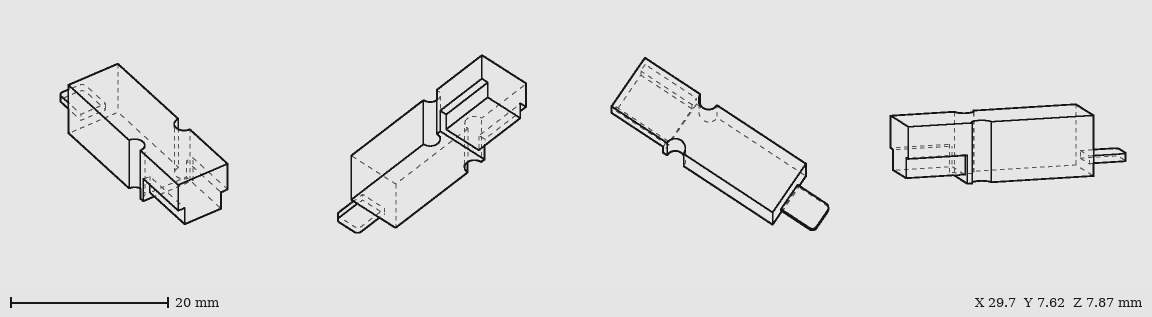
import cadquery as cq

overall_length = 29.72
housing_length = 24.70
housing_width = 7.62
housing_height = 7.87

tab_length = overall_length - housing_length
tab_width = 3.81
tab_thickness = 1.0
tab_bottom = 1.25
tab_corner_radius = 0.635

groove_radius = 1.27
groove_x = 14.92

mating_length = 7.87
hood_edge_bottom = 3.69
hood_root_bottom = 3.64
tongue_bottom = 1.0
tongue_side_inset = 1.0
tongue_width = housing_width - 2 * tongue_side_inset
mating_start = housing_length - mating_length


def block(x_start, length, width, z_bottom, height):
    """Box centred on Y = 0, starting at x_start and z_bottom."""
    return (
        cq.Workplane("XY")
        .box(length, width, height, centered=(False, True, False))
        .translate((x_start, 0, z_bottom))
    )


def make_mating_end():
    """Hood and tongue as one cross-section in YZ, extruded along X."""
    hood_y = housing_width / 2
    tongue_y = tongue_width / 2
    half_outline = [
        (tongue_y, tongue_bottom),
        (tongue_y, hood_root_bottom),
        (hood_y, hood_edge_bottom),
        (hood_y, housing_height),
    ]
    mirrored_half = [(-y, z) for y, z in reversed(half_outline)]
    return (
        cq.Workplane("YZ", origin=(mating_start, 0, 0))
        .polyline(half_outline + mirrored_half)
        .close()
        .extrude(mating_length)
    )


def make_housing():
    main_body = block(0, mating_start, housing_width, 0, housing_height)
    return main_body.union(make_mating_end())


def make_pin_grooves():
    side_y = housing_width / 2
    return (
        cq.Workplane("XY")
        .pushPoints([(groove_x, side_y), (groove_x, -side_y)])
        .circle(groove_radius)
        .extrude(housing_height)
    )


def make_tab():
    tab = block(-tab_length, tab_length, tab_width, tab_bottom, tab_thickness)
    return tab.edges("|Z and <X").fillet(tab_corner_radius)


result = make_housing().cut(make_pin_grooves()).union(make_tab())